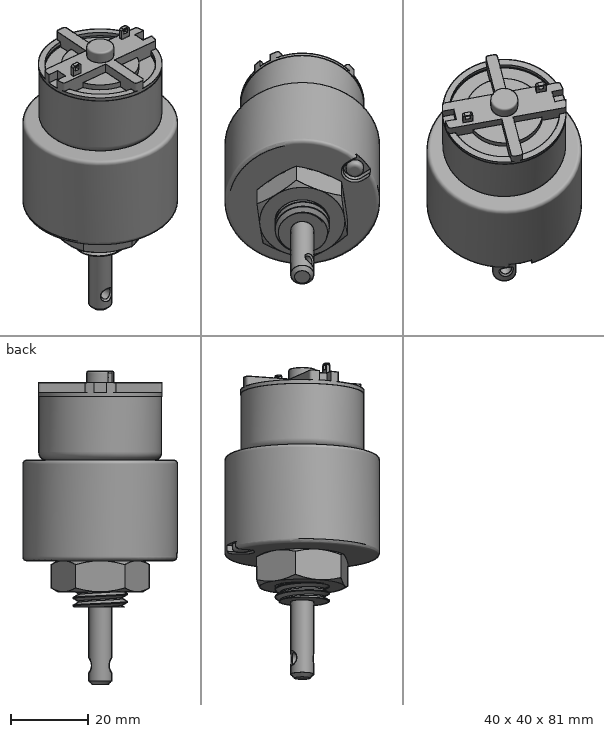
import cadquery as cq
import math


GEARBOX_DIAMETER = 40.0
GEARBOX_RADIUS = GEARBOX_DIAMETER / 2
GEARBOX_HEIGHT = 26.0
GEARBOX_EDGE_RADIUS = 1.0

THREAD_DIAMETER = 14.0
THREAD_PITCH = 2.0
THREAD_CREST_WIDTH = THREAD_PITCH / 8
THREAD_FLANK_ANGLE = 30.0
THREAD_DEPTH = THREAD_PITCH * 17 / 24 * math.cos(math.radians(THREAD_FLANK_ANGLE))
THREAD_CUTTER_CLEARANCE = 0.3
THREAD_CREST_Z = -11.6
BUSHING_LENGTH = 12.0

PIN_DIAMETER = 4.5
PIN_EDGE_RADIUS = 1.0
PIN_OFFSET = 17.0
POCKET_WIDTH = 6.0
POCKET_DEPTH = 2.0
POCKET_EDGE_CHAMFER = 0.5
POCKET_CHAMFER_ANGLE = 45.0

NUT_ACROSS_FLATS = 22.0
NUT_HEIGHT = 8.0
NUT_CHAMFER_ANGLE = 30.0

SHAFT_DIAMETER = 6.0
SHAFT_TIP_Z = -32.0
SHAFT_TIP_CHAMFER = 1.0
CROSS_HOLE_DIAMETER = 3.0
CROSS_HOLE_CHAMFER = 0.5
CROSS_HOLE_FROM_TIP = 5.0

CAN_DIAMETER = 31.8
CAN_TOP_Z = 42.5
CAN_EDGE_RADIUS = 2.0

CAP_DIAMETER = 32.0
CAP_RIM_TOP_Z = 43.5
CAP_RIM_INNER_DIAMETER = 28.6
CAP_FLOOR_Z = 42.0
CAP_PLATEAU_DIAMETER = 20.0
CAP_PLATEAU_Z = CAP_RIM_TOP_Z
CAP_PLUG_DEPTH = 1.5
RIB_TOP_Z = 46.0
WIDE_RIB_WIDTH = 8.0
NARROW_RIB_WIDTH = 3.0
RIB_CORNER_RADIUS = 0.7
RIB_NOTCH_WIDTH = 3.2
RIB_NOTCH_LENGTH = 3.0
BOSS_DIAMETER = 7.0
BOSS_TOP_Z = 49.0
BOSS_EDGE_RADIUS = 0.5

TERMINAL_THICKNESS = 1.0
TERMINAL_WIDTH = 2.6
TERMINAL_HEIGHT = BOSS_TOP_Z - RIB_TOP_Z
TERMINAL_CORNER = 0.5
TERMINAL_HOLE_SIZE = 1.2
TERMINAL_HOLE_FROM_TOP = 1.0
TERMINAL_X = 2.55
TERMINAL_Y = 10.25


def cylinder(diameter, bottom, top):
    """Solid cylinder on the Z axis between two heights."""
    return cq.Workplane("XY").workplane(offset=bottom).circle(diameter / 2).extrude(top - bottom)


def bar(length_x, length_y, bottom, top):
    """Rectangular bar centred on the Z axis between two heights."""
    return cq.Workplane("XY").workplane(offset=bottom).rect(length_x, length_y).extrude(top - bottom)


def make_bushing():
    """Bushing with one right-hand helical groove cut along its whole length."""
    root_radius = THREAD_DIAMETER / 2 - THREAD_DEPTH
    cutter_radius = THREAD_DIAMETER / 2 + THREAD_CUTTER_CLEARANCE
    flank_slope = math.tan(math.radians(THREAD_FLANK_ANGLE))
    groove_half = (THREAD_PITCH - THREAD_CREST_WIDTH) / 2
    root_half = groove_half - THREAD_DEPTH * flank_slope
    outer_half = root_half + (cutter_radius - root_radius) * flank_slope

    start_z = THREAD_CREST_Z - THREAD_PITCH
    helix_height = BUSHING_LENGTH + 2 * THREAD_PITCH
    helix = cq.Wire.makeHelix(THREAD_PITCH, helix_height, THREAD_DIAMETER / 2)
    groove = (
        cq.Workplane("XZ")
        .polyline([
            (root_radius, -root_half),
            (cutter_radius, -outer_half),
            (cutter_radius, outer_half),
            (root_radius, root_half),
        ])
        .close()
        .sweep(cq.Workplane(obj=helix), isFrenet=True)
        .rotate((0, 0, 0), (0, 0, 1), 180)
        .translate((0, 0, start_z))
    )
    return cylinder(THREAD_DIAMETER, -BUSHING_LENGTH, 0).cut(groove)


def pocket_slot(width):
    """Outline around the pin that runs radially out past the gearbox rim."""
    end_x = -(GEARBOX_RADIUS + POCKET_WIDTH)
    return (
        cq.Workplane("XY")
        .moveTo(end_x, -width / 2)
        .lineTo(-PIN_OFFSET, -width / 2)
        .threePointArc((-PIN_OFFSET + width / 2, 0), (-PIN_OFFSET, width / 2))
        .lineTo(end_x, width / 2)
        .close()
    )


def make_gearbox():
    body = cylinder(GEARBOX_DIAMETER, 0, GEARBOX_HEIGHT).edges().fillet(GEARBOX_EDGE_RADIUS)
    pocket = pocket_slot(POCKET_WIDTH).extrude(POCKET_DEPTH)
    lip_width = POCKET_WIDTH + 2 * POCKET_EDGE_CHAMFER
    pocket_lip = pocket_slot(lip_width).extrude(POCKET_EDGE_CHAMFER, taper=POCKET_CHAMFER_ANGLE)
    shaft_bore = cylinder(SHAFT_DIAMETER, -BUSHING_LENGTH, 0)
    bushing = make_bushing().cut(shaft_bore)
    return body.cut(pocket).cut(pocket_lip).union(bushing)


def make_locating_pin():
    pin = cylinder(PIN_DIAMETER, 0, POCKET_DEPTH).faces("<Z").edges().fillet(PIN_EDGE_RADIUS)
    return pin.translate((-PIN_OFFSET, 0, 0))


def make_nut():
    """Hexagonal nut with corners on X, turned to a cone at both ends."""
    flat_radius = NUT_ACROSS_FLATS / 2
    corner_radius = flat_radius / math.cos(math.pi / 6)
    chamfer_height = (corner_radius - flat_radius) * math.tan(math.radians(NUT_CHAMFER_ANGLE))
    hexagon = (
        cq.Workplane("XY")
        .workplane(offset=-NUT_HEIGHT)
        .polygon(6, 2 * corner_radius)
        .extrude(NUT_HEIGHT)
    )
    turned_blank = (
        cq.Workplane("XZ")
        .polyline([
            (0, 0),
            (flat_radius, 0),
            (corner_radius, -chamfer_height),
            (corner_radius, chamfer_height - NUT_HEIGHT),
            (flat_radius, -NUT_HEIGHT),
            (0, -NUT_HEIGHT),
        ])
        .close()
        .revolve(360, (0, 0, 0), (0, 1, 0))
    )
    return hexagon.intersect(turned_blank).cut(cylinder(THREAD_DIAMETER, -NUT_HEIGHT, 0))


def make_shaft():
    """Shaft with a chamfered tip and a cross hole along X with chamfered rims."""
    shaft = cylinder(SHAFT_DIAMETER, SHAFT_TIP_Z, 0).faces("<Z").chamfer(SHAFT_TIP_CHAMFER)
    hole_z = SHAFT_TIP_Z + CROSS_HOLE_FROM_TIP
    hole = (
        cq.Workplane("YZ")
        .center(0, hole_z)
        .circle(CROSS_HOLE_DIAMETER / 2)
        .extrude(SHAFT_DIAMETER, both=True)
    )
    hole_region = cq.selectors.BoxSelector(
        (-SHAFT_DIAMETER, -CROSS_HOLE_DIAMETER, hole_z - CROSS_HOLE_DIAMETER / 4),
        (SHAFT_DIAMETER, CROSS_HOLE_DIAMETER, hole_z + CROSS_HOLE_DIAMETER / 4),
    )
    return shaft.cut(hole).edges(hole_region).edges("not |Z").chamfer(CROSS_HOLE_CHAMFER)


def make_can():
    can = cylinder(CAN_DIAMETER, GEARBOX_HEIGHT, CAN_TOP_Z)
    can = can.faces("<Z").edges().fillet(CAN_EDGE_RADIUS)
    return can.cut(cylinder(CAP_RIM_INNER_DIAMETER, CAN_TOP_Z - CAP_PLUG_DEPTH, CAN_TOP_Z))


def make_rib(length_x, length_y):
    """Rib across the cap, trimmed to the cap diameter, with rounded upright end edges."""
    rib = bar(length_x, length_y, CAP_FLOOR_Z, RIB_TOP_Z)
    rib = rib.intersect(cylinder(CAP_DIAMETER, CAP_FLOOR_Z, RIB_TOP_Z))
    return rib.edges("|Z").fillet(RIB_CORNER_RADIUS)


def make_cap():
    """Dished end cap with a plug, a raised plateau, crossed ribs and a bearing boss."""
    plug = cylinder(CAP_RIM_INNER_DIAMETER, CAN_TOP_Z - CAP_PLUG_DEPTH, CAN_TOP_Z)
    rim = cylinder(CAP_DIAMETER, CAN_TOP_Z, CAP_RIM_TOP_Z)
    dish = cylinder(CAP_RIM_INNER_DIAMETER, CAP_FLOOR_Z, CAP_RIM_TOP_Z)
    plateau = cylinder(CAP_PLATEAU_DIAMETER, CAP_FLOOR_Z, CAP_PLATEAU_Z)
    boss = cylinder(BOSS_DIAMETER, CAP_FLOOR_Z, BOSS_TOP_Z).faces(">Z").edges().fillet(BOSS_EDGE_RADIUS)
    ribs = make_rib(WIDE_RIB_WIDTH, CAP_DIAMETER).union(make_rib(CAP_DIAMETER, NARROW_RIB_WIDTH))
    dish_space = cylinder(CAP_RIM_INNER_DIAMETER, CAP_FLOOR_Z, RIB_TOP_Z)
    space_above_rim = cylinder(CAP_DIAMETER, CAP_RIM_TOP_Z, RIB_TOP_Z)
    ribs = ribs.intersect(dish_space.union(space_above_rim))
    for side in (-1, 1):
        notch = bar(RIB_NOTCH_WIDTH, RIB_NOTCH_LENGTH, CAP_RIM_TOP_Z, RIB_TOP_Z)
        ribs = ribs.cut(notch.translate((0, side * (CAP_DIAMETER - RIB_NOTCH_LENGTH) / 2, 0)))
    return plug.union(rim).cut(dish).union(plateau).union(ribs).union(boss)


def make_terminal(x, y):
    """Flat upright terminal with clipped top corners and a square eye along X."""
    blade = bar(TERMINAL_THICKNESS, TERMINAL_WIDTH, RIB_TOP_Z, RIB_TOP_Z + TERMINAL_HEIGHT)
    blade = blade.faces(">Z").edges("|X").chamfer(TERMINAL_CORNER)
    eye_z = RIB_TOP_Z + TERMINAL_HEIGHT - TERMINAL_HOLE_FROM_TOP
    eye = (
        cq.Workplane("XY")
        .box(TERMINAL_THICKNESS, TERMINAL_HOLE_SIZE, TERMINAL_HOLE_SIZE)
        .translate((0, 0, eye_z))
    )
    return blade.cut(eye).translate((x, y, 0))


gearbox = make_gearbox()
locating_pin = make_locating_pin()
nut = make_nut()
shaft = make_shaft()
can = make_can()
cap = make_cap()
terminals = [make_terminal(-side * TERMINAL_X, side * TERMINAL_Y) for side in (-1, 1)]

result = cq.Compound.makeCompound([
    gearbox.val(),
    locating_pin.val(),
    nut.val(),
    shaft.val(),
    can.val(),
    cap.val(),
    *[terminal.val() for terminal in terminals],
])